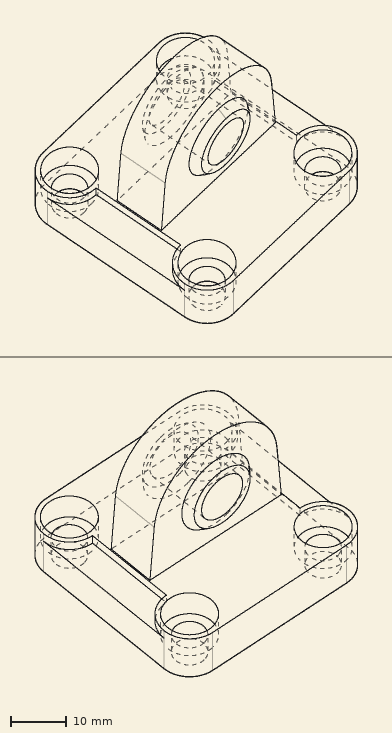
import cadquery as cq
import math

base_side = 45.0
base_height = 10.0
corner_radius = 6.25
hole_offset = base_side / 2 - corner_radius
hole_diameter = 6.6
counterbore_diameter = 10.5
counterbore_depth = 5.5
step_depth = 2.0

lug_thickness = 10.5
lug_base_half_width = 15.98
eye_radius = 15.0
eye_height = 22.0

ball_radius = 9.75
ball_width = 14.0
bore_diameter = 10.0


def make_base():
    """Plate with rounded corners, lowered edge strips and counterbored corner holes."""
    base = cq.Workplane("XY").box(base_side, base_side, base_height, centered=(True, True, False))
    base = base.edges("|Z").fillet(corner_radius)

    step_floor = cq.Workplane("XY").workplane(offset=base_height - step_depth)
    strip_centre = hole_offset + corner_radius / 2
    strips = (
        step_floor.pushPoints([(0, -strip_centre), (0, strip_centre)])
        .rect(2 * hole_offset, corner_radius)
        .extrude(step_depth)
    )
    hole_points = [(x, y) for x in (-hole_offset, hole_offset) for y in (-hole_offset, hole_offset)]
    bosses = step_floor.pushPoints(hole_points).circle(corner_radius).extrude(step_depth)
    base = base.cut(strips.cut(bosses))

    return (
        base.faces(">Z").workplane(origin=(0, 0, base_height))
        .pushPoints(hole_points)
        .cboreHole(hole_diameter, counterbore_diameter, counterbore_depth)
    )


def make_lug():
    """Plate standing on the base, with straight sides tangent to the eye."""
    eye_rise = eye_height - base_height
    corner_distance = math.hypot(lug_base_half_width, eye_rise)
    tangent_angle = math.acos(eye_radius / corner_distance) - math.atan2(eye_rise, lug_base_half_width)
    tangent_y = eye_radius * math.cos(tangent_angle)
    tangent_z = eye_height + eye_radius * math.sin(tangent_angle)
    return (
        cq.Workplane("YZ")
        .moveTo(-lug_base_half_width, base_height)
        .lineTo(-tangent_y, tangent_z)
        .threePointArc((0, eye_height + eye_radius), (tangent_y, tangent_z))
        .lineTo(lug_base_half_width, base_height)
        .close()
        .extrude(lug_thickness / 2, both=True)
    )


def make_ball():
    """Sphere with its two sides cut flat."""
    sphere = cq.Workplane("XY").sphere(ball_radius)
    slab = cq.Workplane("XY").box(ball_width, 2 * ball_radius, 2 * ball_radius)
    return sphere.intersect(slab).translate((0, 0, eye_height))


bore = (
    cq.Workplane("YZ")
    .center(0, eye_height)
    .circle(bore_diameter / 2)
    .extrude(ball_width, both=True)
)

result = make_base().union(make_lug()).union(make_ball()).cut(bore)